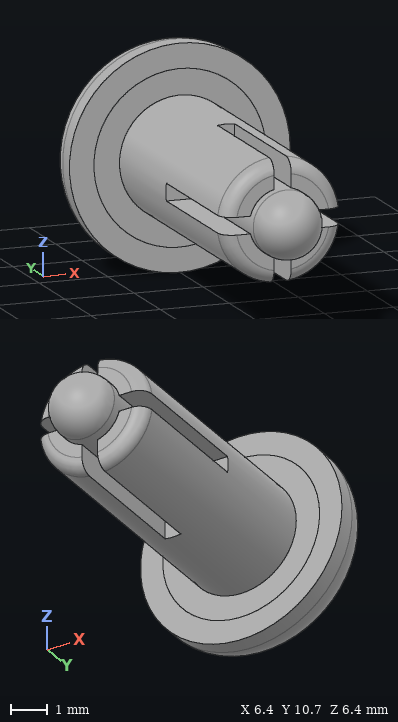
import cadquery as cq


overall_length = 10.74
head_diameter = 6.4
head_thickness = 1.6
head_edge_radius = 1.07
pin_diameter = 1.93
pin_radius = pin_diameter / 2
pin_reach = overall_length - head_thickness

sleeve_diameter = 3.5
sleeve_length = 7.87
sleeve_end_radius = 0.4
flange_diameter = 4.98
flange_thickness = head_thickness - head_edge_radius

slot_width = 0.49
slot_length = 4.33
finger_count = 4
slot_cut_count = finger_count // 2


def rod(diameter, y_start, y_end):
    """Cylinder on the Y axis from y_start up to y_end."""
    section = cq.Workplane("XZ", origin=(0, y_end, 0)).circle(diameter / 2)
    return section.extrude(y_end - y_start)


def make_pin():
    """Domed head with a flange recess in its underside, and a shaft with a round tip."""
    head = rod(head_diameter, 0, head_thickness).faces(">Y").edges().fillet(head_edge_radius)
    recess = rod(flange_diameter, 0, flange_thickness)
    tip_center = -pin_reach + pin_radius
    shaft = rod(pin_diameter, tip_center, flange_thickness)
    tip = cq.Workplane("XY", origin=(0, tip_center, 0)).sphere(pin_radius)
    return head.cut(recess).union(shaft).union(tip)


def make_sleeve():
    """Flanged tube with a rounded end, a bore for the pin and crossed slots."""
    tube = rod(sleeve_diameter, -sleeve_length, 0).faces("<Y").edges().fillet(sleeve_end_radius)
    flange = rod(flange_diameter, 0, flange_thickness)
    bore = rod(pin_diameter, -sleeve_length, flange_thickness)
    sleeve = tube.union(flange).cut(bore)

    slot = cq.Workplane("XY").box(sleeve_diameter, slot_length, slot_width)
    slot = slot.translate((0, -sleeve_length + slot_length / 2, 0))
    for index in range(slot_cut_count):
        angle = index * 360 / finger_count
        sleeve = sleeve.cut(slot.rotate((0, 0, 0), (0, 1, 0), angle))
    return sleeve


pin = make_pin()
sleeve = make_sleeve()

result = cq.Compound.makeCompound([pin.solids().val(), sleeve.solids().val()])